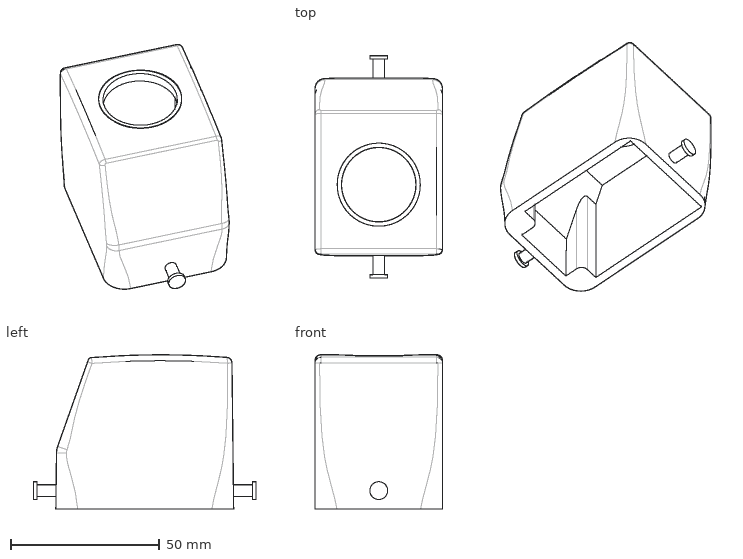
import cadquery as cq
import math

shapes = cq.occ_impl.shapes

WIDTH = 43.0
LENGTH = 60.0
HEIGHT = 52.0
CROWN_RISE = 1.0
END_DRAFT = math.radians(0.65)
BEND_Z = 20.0
LEAN = math.tan(math.radians(19.5))

FOOT_RADIUS = 7.4
FRONT_TOP_CORNER_RADIUS = 1.55
BACK_BEND_CORNER_RADIUS = 3.4
BACK_TOP_CORNER_RADIUS = 1.6
FRONT_CORNER_RADII = [(0.0, FRONT_TOP_CORNER_RADIUS), (0.45, 2.1), (0.74, 4.1), (1.0, FOOT_RADIUS)]
BACK_CORNER_RADII = [
    [(0.0, FOOT_RADIUS), (0.5, 5.6), (1.0, BACK_BEND_CORNER_RADIUS)],
    [(0.0, BACK_BEND_CORNER_RADIUS), (1.0, BACK_BEND_CORNER_RADIUS)],
    [(0.0, BACK_BEND_CORNER_RADIUS), (0.3, 2.4), (1.0, BACK_TOP_CORNER_RADIUS)],
]
BEND_RADIUS = 7.0
TOP_RADIUS = 2.0
BACK_TOP_RADIUS = 1.25

WALL = 3.0
ROOF_UNDERSIDE_Z = 48.0
POST_LENGTH = 7.0
POST_FACE_Y = 19.7
POST_ROUND = 2.6

ENTRY_Y = -6.0
ENTRY_DIAMETER = 25.0
SEAT_DIAMETER = 28.0
SEAT_Z = 51.5

PIN_SPAN = 75.0
PIN_Z = 6.2
PIN_DIAMETER = 4.0
HEAD_DIAMETER = 6.0
HEAD_THICKNESS = 1.2

SHOULDER_Z = HEIGHT - CROWN_RISE
FRONT_Y = -LENGTH / 2
BACK_Y = LENGTH / 2
FRONT_TOP_Y = FRONT_Y + SHOULDER_Z * math.tan(END_DRAFT)
BEND_Y = BACK_Y - BEND_Z * math.tan(END_DRAFT)
BACK_TOP_Y = BEND_Y - (SHOULDER_Z - BEND_Z) * LEAN


def radius_law(radii):
    """Pack (share of length, radius) pairs for a fillet of changing radius."""
    law = shapes.TColgp_HArray1OfPnt2d(1, len(radii))
    for index, (share, radius) in enumerate(radii, start=1):
        law.SetValue(index, shapes.gp_Pnt2d(share, radius))
    return law


def make_block():
    """Sharp-edged hood: arched top, drafted ends and a leaning back wall."""
    profile = (
        cq.Workplane("YZ")
        .moveTo(FRONT_Y, 0)
        .lineTo(BACK_Y, 0)
        .lineTo(BEND_Y, BEND_Z)
        .lineTo(BACK_TOP_Y, SHOULDER_Z)
        .threePointArc(((FRONT_TOP_Y + BACK_TOP_Y) / 2, HEIGHT), (FRONT_TOP_Y, SHOULDER_Z))
        .close()
    )
    block = profile.extrude(WIDTH / 2, both=True)
    bend_edge = cq.selectors.NearestToPointSelector((0, BEND_Y, BEND_Z))
    return block.edges(bend_edge).fillet(BEND_RADIUS)


def round_body(block):
    """Round the upright corners with changing radii, then the edges around the top."""
    def edge_near(x, y, z):
        return block.edges(cq.selectors.NearestToPointSelector((x, y, z))).val().wrapped

    front_mid_y = (FRONT_Y + FRONT_TOP_Y) / 2
    back_mid_y = (BACK_Y + BEND_Y) / 2
    builder = shapes.BRepFilletAPI_MakeFillet(block.val().wrapped)
    for side_x in (-WIDTH / 2, WIDTH / 2):
        front = edge_near(side_x, front_mid_y, SHOULDER_Z / 2)
        builder.Add(radius_law(FRONT_CORNER_RADII), front)
        back = edge_near(side_x, back_mid_y, BEND_Z / 2)
        builder.Add(back)
        back_contour = builder.Contour(back)
        for section, radii in enumerate(BACK_CORNER_RADII, start=1):
            builder.SetRadius(radius_law(radii), back_contour, section)
        top_side = edge_near(side_x, (FRONT_TOP_Y + BACK_TOP_Y) / 2, HEIGHT)
        builder.Add(TOP_RADIUS, top_side)
    builder.Add(TOP_RADIUS, edge_near(0, FRONT_TOP_Y, SHOULDER_Z))
    builder.Add(BACK_TOP_RADIUS, edge_near(0, BACK_TOP_Y, SHOULDER_Z))
    return cq.Workplane(cq.Shape.cast(builder.Shape()))


def make_cavity():
    """Open-bottomed inside space, less the two posts in the back corners."""
    roof_back_y = BEND_Y - (ROOF_UNDERSIDE_Z - BEND_Z) * LEAN
    inner_width = WIDTH - 2 * WALL
    cavity = (
        cq.Workplane("YZ")
        .moveTo(FRONT_Y + WALL, 0)
        .lineTo(BACK_Y - WALL, 0)
        .lineTo(BEND_Y - WALL, BEND_Z)
        .lineTo(roof_back_y - WALL, ROOF_UNDERSIDE_Z)
        .lineTo(FRONT_Y + WALL, ROOF_UNDERSIDE_Z)
        .close()
        .extrude(inner_width / 2, both=True)
    )
    for side in (-1, 1):
        free_corner = (side * (inner_width / 2 - POST_LENGTH), POST_FACE_Y, HEIGHT / 2)
        post = (
            cq.Workplane("XY")
            .center(side * (inner_width - POST_LENGTH) / 2, (POST_FACE_Y + BACK_Y) / 2)
            .rect(POST_LENGTH, BACK_Y - POST_FACE_Y)
            .extrude(HEIGHT)
            .edges(cq.selectors.NearestToPointSelector(free_corner))
            .fillet(POST_ROUND)
        )
        cavity = cavity.cut(post)
    return cavity


def upright_cylinder(diameter, bottom_z):
    """Cylinder on the cable-entry axis, from bottom_z up past the top."""
    return (
        cq.Workplane("XY", origin=(0, ENTRY_Y, bottom_z))
        .circle(diameter / 2)
        .extrude(HEIGHT)
    )


def make_pin(side):
    """Headed pin standing out of an end wall; side is -1 (front) or 1 (back)."""
    def length_of_rod(diameter, start, end):
        return (
            cq.Workplane("XZ", origin=(0, side * start, PIN_Z))
            .circle(diameter / 2)
            .extrude(-side * (end - start))
        )

    tip = PIN_SPAN / 2
    shank = length_of_rod(PIN_DIAMETER, LENGTH / 2 - WALL / 2, tip)
    head = length_of_rod(HEAD_DIAMETER, tip - HEAD_THICKNESS, tip)
    return shank.union(head)


result = round_body(make_block())
result = result.cut(make_cavity())
result = result.cut(upright_cylinder(ENTRY_DIAMETER, ROOF_UNDERSIDE_Z - WALL))
result = result.cut(upright_cylinder(SEAT_DIAMETER, SEAT_Z))
for pin_side in (-1, 1):
    result = result.union(make_pin(pin_side))